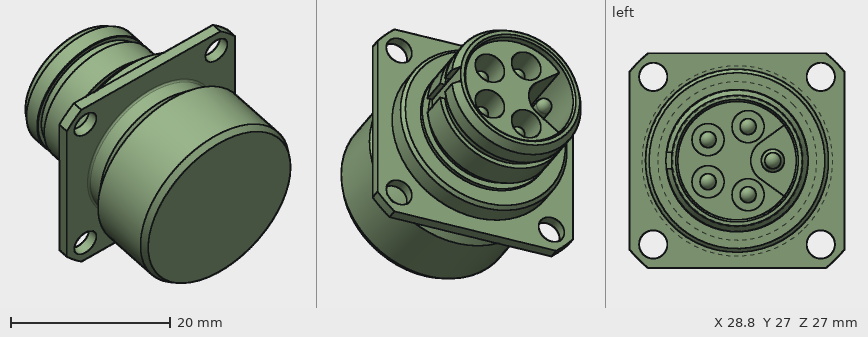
import cadquery as cq
import math

total_length = 28.8
nose_end = 1.15
seal_groove_start = 3.37
seal_groove_end = 4.72
barrel_end = 8.6
collar_start = 10.02
boss_start = 10.5
flange_start = 13.5
flange_thickness = 1.5
flange_end = flange_start + flange_thickness
neck_end = 17.35
rear_body_start = 19.32
rear_chamfer_start = 27.88

nose_radius = 8.2
barrel_radius = 8.93
seal_groove_radius = 8.3
relief_groove_radius = 8.1
boss_radius = 11.5
neck_radius = 9.96
rear_body_radius = 11.95
rear_end_radius = 11.43
groove_edge_chamfer = 0.1
boss_chamfer = 0.45
neck_fillet = 0.25

flange_size = 27.0
flange_corner_radius = 17.5
mount_hole_offset = 10.5
mount_hole_radius = 1.75

key_slot_width = 2.07
key_slot_floor = 8.18

bore_radius = 7.43
bore_depth = 1.18
bore_chamfer = 0.25

contact_count = 5
contact_step = 360 / contact_count
pitch_radius = 4.5
pin_radius = 1.0
pin_tip = 3.02
earth_pin_tip = 1.73
cavity_radius = 2.02
cavity_floor = 10.0

earth_cavity_radius = 2.76
earth_cavity_half_angle = contact_step / 2
earth_root_radius = 1.45
earth_root_start = 5.18
earth_root_cone = 0.58


def rod(start, end, radius, y=0.0, z=0.0):
    """Cylinder along X between two stations."""
    return cq.Workplane("YZ", origin=(start, y, z)).circle(radius).extrude(end - start)


def turned_shell():
    groove_lip = barrel_radius - groove_edge_chamfer
    half_profile = (
        cq.Workplane("XY")
        .moveTo(0, 0)
        .lineTo(0, nose_radius)
        .lineTo(nose_end, barrel_radius)
        .lineTo(seal_groove_start - groove_edge_chamfer, barrel_radius)
        .lineTo(seal_groove_start, groove_lip)
        .lineTo(seal_groove_start, seal_groove_radius)
        .lineTo(seal_groove_end, seal_groove_radius)
        .lineTo(seal_groove_end, barrel_radius)
        .lineTo(barrel_end, barrel_radius)
        .lineTo(barrel_end, relief_groove_radius)
        .lineTo(collar_start, relief_groove_radius)
        .lineTo(collar_start, barrel_radius)
        .lineTo(boss_start, barrel_radius)
        .lineTo(boss_start, boss_radius - boss_chamfer)
        .lineTo(boss_start + boss_chamfer, boss_radius)
        .lineTo(flange_end, boss_radius)
        .lineTo(flange_end, neck_radius + neck_fillet)
        .radiusArc((flange_end + neck_fillet, neck_radius), -neck_fillet)
        .lineTo(neck_end, neck_radius)
        .lineTo(rear_body_start, rear_body_radius)
        .lineTo(rear_chamfer_start, rear_body_radius)
        .lineTo(total_length, rear_end_radius)
        .lineTo(total_length, 0)
        .close()
    )
    return half_profile.revolve(360, (0, 0, 0), (1, 0, 0))


def flange():
    """Square plate with its corners turned to a common circle, and four mounting holes."""
    plate = (
        cq.Workplane("YZ", origin=(flange_start, 0, 0))
        .rect(flange_size, flange_size)
        .extrude(flange_thickness)
    )
    plate = plate.intersect(rod(flange_start, flange_end, flange_corner_radius))
    for y in (-mount_hole_offset, mount_hole_offset):
        for z in (-mount_hole_offset, mount_hole_offset):
            plate = plate.cut(rod(flange_start, flange_end, mount_hole_radius, y, z))
    return plate


def key_slot():
    """Groove along the barrel, open at the mating face and ending at the collar."""
    depth = barrel_radius - key_slot_floor
    slot = cq.Workplane("XY").box(collar_start, depth, key_slot_width, centered=(False, False, True))
    return slot.translate((0, key_slot_floor, 0))


def front_bore():
    """Shallow bore with a chamfered mouth."""
    mouth_radius = bore_radius + bore_chamfer
    half_profile = (
        cq.Workplane("XY")
        .moveTo(0, 0)
        .lineTo(0, mouth_radius)
        .lineTo(bore_chamfer, bore_radius)
        .lineTo(bore_depth, bore_radius)
        .lineTo(bore_depth, 0)
        .close()
    )
    return half_profile.revolve(360, (0, 0, 0), (1, 0, 0))


def contact_position(index):
    """Y and Z of a contact; index 0 is the earth contact."""
    angle = math.radians(180 + index * contact_step)
    return pitch_radius * math.cos(angle), pitch_radius * math.sin(angle)


def pin(tip, y, z):
    """Round pin rising from the cavity floor to a hemispherical tip."""
    dome_center = tip + pin_radius
    dome = cq.Workplane("XY").sphere(pin_radius).translate((dome_center, y, z))
    return rod(dome_center, cavity_floor, pin_radius, y, z).union(dome)


def earth_cavity():
    """Rounded wedge that opens towards -Y and is bounded by the bore."""
    y, z = contact_position(0)
    half_angle = math.radians(earth_cavity_half_angle)
    tangent_y = y + earth_cavity_radius * math.sin(half_angle)
    tangent_z = earth_cavity_radius * math.cos(half_angle)
    wall_y = -bore_radius - earth_cavity_radius
    wall_z = tangent_z + (tangent_y - wall_y) * math.tan(half_angle)
    wedge = (
        cq.Workplane("YZ", origin=(bore_depth, 0, 0))
        .moveTo(wall_y, -wall_z)
        .lineTo(tangent_y, -tangent_z)
        .threePointArc((y + earth_cavity_radius, z), (tangent_y, tangent_z))
        .lineTo(wall_y, wall_z)
        .close()
        .extrude(cavity_floor - bore_depth)
    )
    return wedge.intersect(rod(bore_depth, cavity_floor, bore_radius))


def earth_pin_root():
    """Thicker root of the earth pin, tapering down to the pin."""
    y, z = contact_position(0)
    cone_end = earth_root_start + earth_root_cone
    cone = cq.Solid.makeCone(
        pin_radius,
        earth_root_radius,
        earth_root_cone,
        cq.Vector(earth_root_start, y, z),
        cq.Vector(1, 0, 0),
    )
    return rod(cone_end, cavity_floor, earth_root_radius, y, z).union(cq.Workplane(cone))


result = turned_shell().union(flange())
result = result.cut(key_slot()).cut(front_bore())

result = result.cut(earth_cavity())
result = result.union(pin(earth_pin_tip, *contact_position(0))).union(earth_pin_root())

for contact in range(1, contact_count):
    contact_y, contact_z = contact_position(contact)
    result = result.cut(rod(bore_depth, cavity_floor, cavity_radius, contact_y, contact_z))
    result = result.union(pin(pin_tip, contact_y, contact_z))